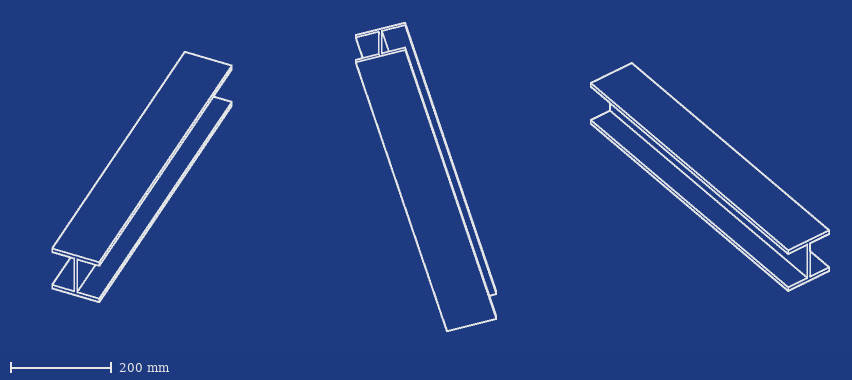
import cadquery as cq

length = 650.0
flange_width = 103.0
height = 106.0
flange_thickness = 10.0
web_thickness = 6.5

web_height = height - 2 * flange_thickness
flange_offset = (height - flange_thickness) / 2


def flange(center_z):
    """Flat plate running the full length, centred at the given height."""
    return cq.Workplane("XY").box(flange_width, length, flange_thickness).translate((0, 0, center_z))


web = cq.Workplane("XY").box(web_thickness, length, web_height)

result = web.union(flange(flange_offset)).union(flange(-flange_offset))